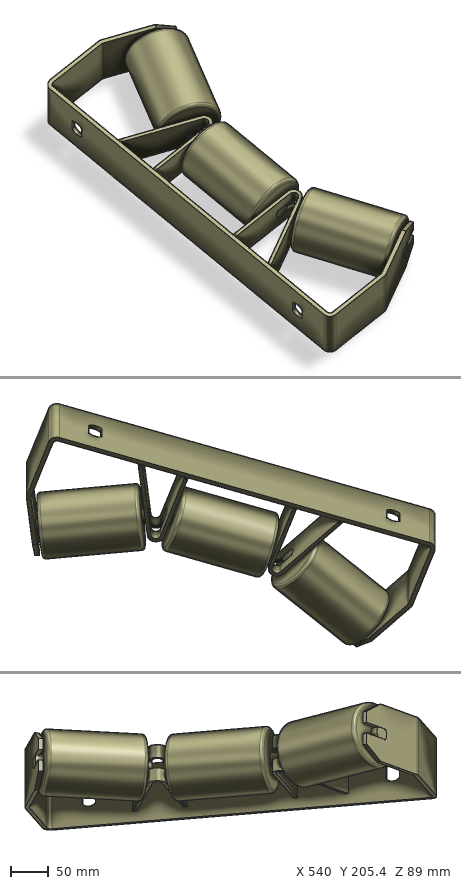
import cadquery as cq
import math

FRAME_LENGTH = 540.0
FRAME_WIDTH = 80.0
BRACKET_WIDTH = 50.0
FRAME_THICKNESS = 6.0
BRACKET_THICKNESS = 5.0
BEND_RADIUS = 11.5

ROLLER_DIAMETER = 89.0
ROLLER_LENGTH = 136.0
ROLLER_FILLET = 5.0
SHAFT_DIAMETER = 20.0
SHAFT_LENGTH = 156.5
SHAFT_FLATS = 14.5
TILT = 25.0
CENTRE_ROLLER_Y = 99.0
SIDE_ROLLER_X = 167.5
SIDE_ROLLER_Y = 138.0

ARM_TOP_Y = 200.0
ARM_CHAMFER_LENGTH = 29.0
ARM_CHAMFER_WIDTH = 17.5
MOUNT_HOLE_X = 208.5
MOUNT_HOLE_WIDTH = 18.5
MOUNT_HOLE_HEIGHT = 25.5

COS = math.cos(math.radians(TILT))
SIN = math.sin(math.radians(TILT))
HALF_SHAFT = SHAFT_LENGTH / 2


def place_at_side(shape):
    """Move a shape built around the origin along X to the right-hand roller."""
    return shape.rotate((0, 0, 0), (0, 0, 1), TILT).translate((SIDE_ROLLER_X, SIDE_ROLLER_Y, 0))


def tilted_point(axial, y):
    """Point at height y on the plane square to the right-hand roller, axial away from its middle."""
    x = SIDE_ROLLER_X + (axial - (y - SIDE_ROLLER_Y) * SIN) / COS
    return (x, y)


def tilted_y(axial, x):
    """Height at which the plane square to the right-hand roller, axial from its middle, passes x."""
    return SIDE_ROLLER_Y + (axial - (x - SIDE_ROLLER_X) * COS) / SIN


def bent_strip(points, width, thickness):
    """Strip following the middle line through the points, rounded at every inner point."""
    path = cq.Wire.makePolygon([cq.Vector(x, y, 0) for x, y in points])
    path = path.fillet(BEND_RADIUS - thickness / 2, path.Vertices()[1:-1])
    start = path.startPoint()
    profile_plane = cq.Plane(origin=start.toTuple(), xDir=(0, 0, 1), normal=path.tangentAt(0).toTuple())
    return cq.Workplane(profile_plane).rect(width, thickness).sweep(cq.Workplane(path))


def round_bar(diameter, length):
    """Cylinder along X, centred on the origin."""
    half_section = cq.Workplane("XZ").center(0, diameter / 4).rect(length, diameter / 2)
    return half_section.revolve(360, (0, -diameter / 4, 0), (1, -diameter / 4, 0))


def flatted_bar(length):
    """Bar along X with the section of a shaft end: round, with flats facing +Z and -Z."""
    flats = cq.Workplane("XY").box(length, SHAFT_DIAMETER, SHAFT_FLATS)
    return round_bar(SHAFT_DIAMETER, length).intersect(flats)


def make_roller():
    """Roller along X whose shaft ends are flatted where they sit in the plates."""
    drum = round_bar(ROLLER_DIAMETER, ROLLER_LENGTH).faces("<X or >X").edges().fillet(ROLLER_FILLET)
    round_shaft = round_bar(SHAFT_DIAMETER, SHAFT_LENGTH - 2 * FRAME_THICKNESS)
    return drum.union(round_shaft).union(flatted_bar(SHAFT_LENGTH))


def open_slot(axial, depth, reach):
    """Shaft slot through a plate at axial on the X axis: round at the bottom, open towards +Y."""
    channel = cq.Workplane("XY").box(depth, reach, SHAFT_FLATS, centered=(True, False, True))
    return flatted_bar(depth).union(channel).translate((axial, 0, 0))


def arm_tip_cuts():
    """Open shaft slot and corner chamfers of the right-hand arm, placed on the arm."""
    tip = (ARM_TOP_Y - SIDE_ROLLER_Y - HALF_SHAFT * SIN) / COS
    depth = 4 * FRAME_THICKNESS
    cuts = open_slot(HALF_SHAFT, depth, 2 * tip)
    for side in (1, -1):
        edge = side * FRAME_WIDTH / 2
        corner = (
            cq.Workplane("YZ")
            .workplane(offset=HALF_SHAFT)
            .polyline([(tip, edge), (tip - ARM_CHAMFER_LENGTH, edge), (tip, edge - side * ARM_CHAMFER_WIDTH)])
            .close()
            .extrude(depth / 2, both=True)
        )
        cuts = cuts.union(corner)
    return place_at_side(cuts)


def make_frame():
    """Bent frame: base, two uprights and two arms leaning inwards."""
    half = FRAME_THICKNESS / 2
    upright_x = FRAME_LENGTH / 2 - half
    arm_axial = HALF_SHAFT - half
    right_side = [
        (upright_x, half),
        (upright_x, tilted_y(arm_axial, upright_x)),
        tilted_point(arm_axial, ARM_TOP_Y - half * SIN),
    ]
    left_side = [(-x, y) for x, y in reversed(right_side)]
    frame = bent_strip(left_side + right_side, FRAME_WIDTH, FRAME_THICKNESS)

    centres = [(-MOUNT_HOLE_X, 0), (MOUNT_HOLE_X, 0)]
    round_holes = cq.Workplane("XZ").pushPoints(centres).circle(MOUNT_HOLE_HEIGHT / 2)
    flat_sides = cq.Workplane("XZ").pushPoints(centres).rect(MOUNT_HOLE_WIDTH, MOUNT_HOLE_HEIGHT)
    mount_holes = round_holes.extrude(-FRAME_THICKNESS).intersect(flat_sides.extrude(-FRAME_THICKNESS))

    tip_cuts = arm_tip_cuts()
    return frame.cut(mount_holes).cut(tip_cuts).cut(tip_cuts.mirror("YZ"))


def make_bracket():
    """Right-hand bracket: upright leg by the centre roller, sloping leg by the side roller."""
    upright_x = HALF_SHAFT - BRACKET_THICKNESS / 2
    slope_axial = -HALF_SHAFT + BRACKET_THICKNESS / 2
    legs = [
        (upright_x, 0),
        (upright_x, tilted_y(slope_axial, upright_x)),
        tilted_point(slope_axial, 0),
    ]
    bracket = bent_strip(legs, BRACKET_WIDTH, BRACKET_THICKNESS)

    base = cq.Workplane("XY").box(FRAME_LENGTH, 2 * FRAME_THICKNESS, FRAME_WIDTH)
    bracket = bracket.cut(base)

    depth = 2 * BEND_RADIUS
    upright_slot = open_slot(HALF_SHAFT, depth, SHAFT_LENGTH).translate((0, CENTRE_ROLLER_Y, 0))
    sloping_slot = place_at_side(open_slot(-HALF_SHAFT, depth, SHAFT_LENGTH))
    return bracket.cut(upright_slot).cut(sloping_slot)


frame = make_frame()
right_bracket = make_bracket()
roller = make_roller()
centre_roller = roller.translate((0, CENTRE_ROLLER_Y, 0))
right_roller = place_at_side(roller)
brackets = [right_bracket, right_bracket.mirror("YZ")]
rollers = [centre_roller, right_roller, right_roller.mirror("YZ")]

result = cq.Compound.makeCompound([body.val() for body in [frame, *brackets, *rollers]])